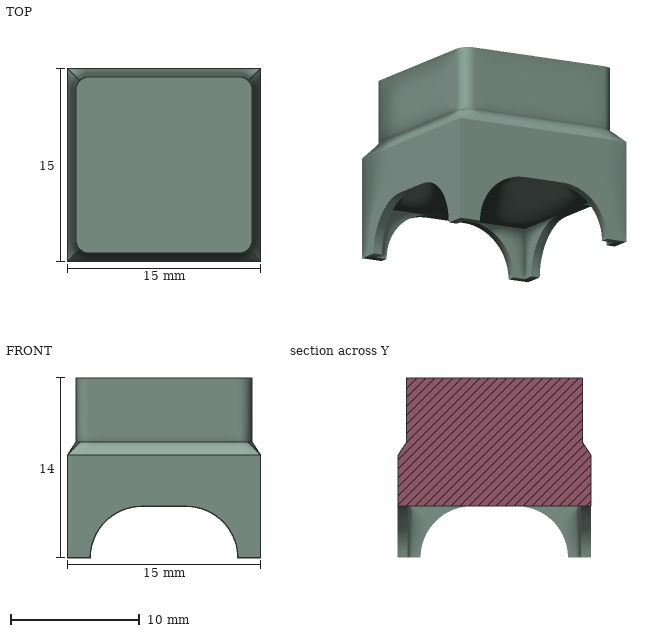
import cadquery as cq
import math

base_side = 15.0
total_height = 14.0
base_height = 8.0
shoulder_height = 1.0
cap_side = 13.7
cap_corner_radius = 1.0
arch_width = 11.46
arch_radius = 4.0
wall = 0.75

arch_height = arch_radius
arch_flat_half = arch_width / 2 - arch_radius
cap_bottom = base_height + shoulder_height
cap_height = total_height - cap_bottom
cavity_side = base_side - 2 * wall

QUARTER_TURNS = [(1, 0), (0, 1), (-1, 0), (0, -1)]


def square_block(side, bottom, height):
    """Square block centred on the Z axis."""
    return cq.Workplane("XY").workplane(offset=bottom).rect(side, side).extrude(height)


def turned(x, y, x_dir, y_dir):
    """Point (x, y) turned about Z so that the X axis lands on (x_dir, y_dir)."""
    return (x * x_dir - y * y_dir, x * y_dir + y * x_dir)


def base_outline():
    """Base square split at each corner and radially outward of each cap corner arc end."""
    half = base_side / 2
    split = (cap_side / 2 - cap_corner_radius) * base_side / cap_side
    outline = cq.Workplane("XY").workplane(offset=base_height).moveTo(-split, -half)
    for x_dir, y_dir in QUARTER_TURNS:
        outline = outline.lineTo(*turned(split, -half, x_dir, y_dir))
        outline = outline.lineTo(*turned(half, -half, x_dir, y_dir))
        outline = outline.lineTo(*turned(half, -split, x_dir, y_dir))
    return outline.close().wires().val()


def cap_outline():
    """Rounded cap square with each corner arc split at its middle."""
    half = cap_side / 2
    straight = half - cap_corner_radius
    middle = straight + cap_corner_radius * math.sqrt(0.5)
    outline = cq.Workplane("XY").workplane(offset=cap_bottom).moveTo(-straight, -half)
    for x_dir, y_dir in QUARTER_TURNS:
        outline = outline.lineTo(*turned(straight, -half, x_dir, y_dir))
        arc_middle = turned(middle, -middle, x_dir, y_dir)
        outline = outline.radiusArc(arc_middle, -cap_corner_radius)
        arc_end = turned(half, -straight, x_dir, y_dir)
        outline = outline.radiusArc(arc_end, -cap_corner_radius)
    return outline.close().wires().val()


def shoulder():
    """Sloped transition from the square base to the rounded cap."""
    return cq.Workplane(obj=cq.Solid.makeLoft([base_outline(), cap_outline()], True))


def cap():
    """Upper block with rounded vertical corners."""
    return square_block(cap_side, cap_bottom, cap_height).edges("|Z").fillet(cap_corner_radius)


def arch(plane):
    """Flat-topped arch running through the full base, normal to the given plane."""
    return (
        cq.Workplane(plane)
        .moveTo(-arch_width / 2, 0)
        .radiusArc((-arch_flat_half, arch_height), arch_radius)
        .lineTo(arch_flat_half, arch_height)
        .radiusArc((arch_width / 2, 0), arch_radius)
        .close()
        .extrude(base_side / 2, both=True)
    )


cavity = square_block(cavity_side, 0, arch_height)

body = square_block(base_side, 0, base_height).union(shoulder()).union(cap())
result = body.cut(cavity).cut(arch("XZ")).cut(arch("YZ"))